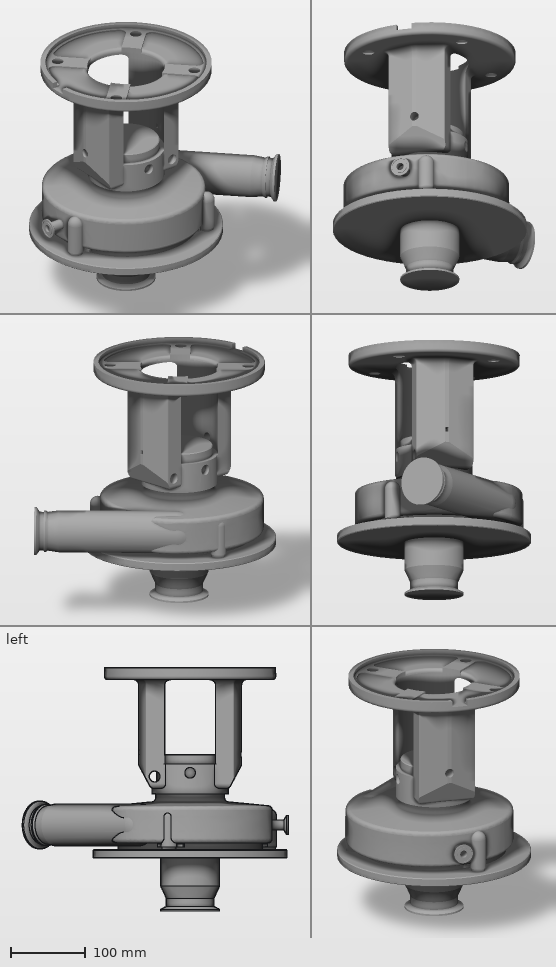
import cadquery as cq
import math

OVERALL_LENGTH = 357

BASE_BOTTOM = 71.0
BASE_TOP = 82.5
CASING_BOTTOM = 91.5
COVER_TOP = 146.5
COLLAR_BOTTOM = 157.5
COLLAR_TOP = 197.5
CAP_TOP = 210.0
MOUNT_BOTTOM = 310.5
MOUNT_TOP = 326.5
PORT_HEIGHT = 115.5

INLET_RADIUS = 39.5
INLET_NECK_RADIUS = 32.0
INLET_LIP_HEIGHT = 2.5
INLET_NECK_BOTTOM = 6.5
INLET_NECK_TOP = 17.0
INLET_TAPER_TOP = 33.5
BASE_RADIUS = 260.0 / 2
EDGE_CHAMFER = 1.0
SPACER_RADIUS = 97.0
NECK_RADIUS = 46.5
NECK_FILLET = 5.5
COLLAR_RADIUS = 51.5
CAP_RADIUS = 45.0
COLLAR_HOLE_RADIUS = 7.0
COLLAR_HOLE_HEIGHT = 185.5

DISC_RADIUS = 106.5
SPIRAL_END_RADIUS = 121.0
SPIRAL_START_ANGLE = -45
SPIRAL_END_ANGLE = -225
TONGUE_ANGLE = -242
TONGUE_RADIUS = 119.2
CASING_FILLET = 5.7
COVER_RIM_RADIUS = 125
COVER_RIM_HEIGHT = 139.5

DRAIN_REACH = 131.5
DRAIN_RADIUS = 6.8
DRAIN_ROOT_REACH = DISC_RADIUS - 7
DRAIN_FLANGE_RADIUS = 13.0
DRAIN_HUB_RADIUS = 10.5
DRAIN_HUB_LENGTH = 2.0
DRAIN_CONE_LENGTH = 1.8
DRAIN_LIP = 2.0
DRAIN_BORE_RADIUS = 5.0
DRAIN_BORE_DEPTH = 10.7
DRAIN_GROOVE_INNER = 9.0
DRAIN_GROOVE_OUTER = 11.0
DRAIN_GROOVE_DEPTH = 1.0

OUTLET_ANGLE = 45
OUTLET_RADIUS = 28.2
OUTLET_OFFSET = 94.5
OUTLET_NECK_RADIUS = 26.0
OUTLET_BEAD_RADIUS = 28.0
OUTLET_FLANGE_RADIUS = 32.0
OUTLET_LIP = 3.0
OUTLET_CONE_BACK = 7.0
OUTLET_BEAD_FRONT = 13.0
OUTLET_BEAD_BACK = 15.0
OUTLET_NECK_BACK = 18.2
OUTLET_TAPER_BACK = 33.0
OUTLET_LENGTH = (
    (OVERALL_LENGTH - DRAIN_REACH) / math.sin(math.radians(OUTLET_ANGLE))
    - OUTLET_OFFSET
    - OUTLET_FLANGE_RADIUS
)

BOSS_ANGLES = (45, 165, 285)
BOSS_CIRCLE_RADIUS = 109.2
BOSS_RADIUS = 21.0 / 2
BOSS_BOTTOM = 86.5
BOSS_DOME_HEIGHT = 126.5
BOSS_FOOT_RADIUS = 9.3
PAD_WIDTH = 35.5
PAD_OUTER_RADIUS = 102.8
PAD_LENGTH = 25.7
PAD_THICKNESS = 4.0

LEG_HALF_WIDTH = 39.5
LEG_SHOULDER = 59.0
LEG_REACH = 69.2
LEG_RIDGE_HALF_WIDTH = 3.0
LEG_BOTTOM = 164.5
LEG_BEVEL_TOP = 196.3
LEG_BEVEL_SLOPE = 0.53
LEG_EDGE_ROUND = 2.0
LEG_ROOT_FILLET = 6.8
LEG_FOOT_FILLET = 6.5
SIGHT_HOLE_RADIUS = 6.0
SIGHT_SLOT_WIDTH = 4.3
CROSS_HOLE_RADIUS = 7.0
CROSS_HOLE_Y = 47.5
CROSS_HOLE_HEIGHT = 180.5

MOUNT_RADIUS = 115.0
MOUNT_EDGE_FILLET = 4.3
MOUNT_BORE_RADIUS = 52.0
RECESS_RADIUS = 108.0
RECESS_DEPTH = 5.7
POCKET_RADIUS = 104.2
POCKET_DEPTH = 8.0
POCKET_CORNER = 9.0
BORE_LIP_FILLET = 5.0
SPOKE_WIDTH = 26.8
SPOKE_ANGLES = (45, 135)
BOLT_SPACING = 131.0
BOLT_RADIUS = 8.0
NOTCH_WIDTH = 21.0
NOTCH_INNER_REACH = POCKET_RADIUS - 3.5

SELECT_MARGIN = 3.5
FINE_MARGIN = 0.5


def cylinder(radius, bottom, top):
    return cq.Workplane("XY").workplane(offset=bottom).circle(radius).extrude(top - bottom)


def revolve_profile(points):
    """Revolve (radius, height) points, closed along the axis, about Z."""
    axis_points = [(0, points[-1][1]), (0, points[0][1])]
    profile = cq.Workplane("XZ").polyline(points + axis_points).close()
    return profile.revolve(360, (0, 0, 0), (0, 1, 0))


def polar(radius, angle):
    turn = math.radians(angle)
    return (radius * math.cos(turn), radius * math.sin(turn))


def inlet_and_base():
    inlet = revolve_profile([
        (INLET_RADIUS, 0),
        (INLET_RADIUS, INLET_LIP_HEIGHT),
        (INLET_NECK_RADIUS, INLET_NECK_BOTTOM),
        (INLET_NECK_RADIUS, INLET_NECK_TOP),
        (INLET_RADIUS, INLET_TAPER_TOP),
        (INLET_RADIUS, BASE_BOTTOM),
    ])
    base = cylinder(BASE_RADIUS, BASE_BOTTOM, BASE_TOP).edges().chamfer(EDGE_CHAMFER)
    spacer = cylinder(SPACER_RADIUS, BASE_TOP, CASING_BOTTOM)
    return inlet.union(base).union(spacer)


def spiral_point(t):
    angle = SPIRAL_START_ANGLE + t * (SPIRAL_END_ANGLE - SPIRAL_START_ANGLE)
    return polar(DISC_RADIUS + t * (SPIRAL_END_RADIUS - DISC_RADIUS), angle)


def casing():
    tongue_middle = (SPIRAL_END_ANGLE + TONGUE_ANGLE) / 2
    disc_middle = (TONGUE_ANGLE + SPIRAL_START_ANGLE - 360) / 2
    body = (
        cq.Workplane("XY")
        .workplane(offset=CASING_BOTTOM)
        .parametricCurve(spiral_point, N=40, makeWire=False)
        .moveTo(*spiral_point(1))
        .threePointArc(polar(SPIRAL_END_RADIUS, tongue_middle), polar(TONGUE_RADIUS, TONGUE_ANGLE))
        .lineTo(*polar(DISC_RADIUS, TONGUE_ANGLE))
        .threePointArc(polar(DISC_RADIUS, disc_middle), spiral_point(0))
        .close()
        .extrude(COVER_TOP - CASING_BOTTOM)
    )
    cone = revolve_profile([
        (COVER_RIM_RADIUS, CASING_BOTTOM),
        (COVER_RIM_RADIUS, COVER_RIM_HEIGHT),
        (NECK_RADIUS + NECK_FILLET, COVER_TOP),
    ])
    body = body.intersect(cone)
    top_rim = cq.selectors.BoxSelector(
        (-BASE_RADIUS, -BASE_RADIUS, COVER_RIM_HEIGHT - SELECT_MARGIN),
        (BASE_RADIUS, BASE_RADIUS, COVER_TOP - FINE_MARGIN),
    )
    body = body.edges(top_rim).fillet(CASING_FILLET)
    body = body.faces("<Z").edges().fillet(CASING_FILLET)
    neck_root = (
        cq.Workplane("XZ")
        .moveTo(0, COVER_TOP)
        .lineTo(NECK_RADIUS + NECK_FILLET, COVER_TOP)
        .radiusArc((NECK_RADIUS, COVER_TOP + NECK_FILLET), NECK_FILLET)
        .lineTo(NECK_RADIUS, COLLAR_BOTTOM)
        .lineTo(0, COLLAR_BOTTOM)
        .close()
        .revolve(360, (0, 0, 0), (0, 1, 0))
    )
    return body.union(neck_root)


def collar():
    ring = cylinder(COLLAR_RADIUS, COLLAR_BOTTOM, COLLAR_TOP)
    cap = cylinder(CAP_RADIUS, COLLAR_TOP, CAP_TOP).faces(">Z").edges().chamfer(EDGE_CHAMFER)
    return ring.union(cap)


def outlet():
    """Pipe with a tapered neck and clamp flange; its root is a hemisphere blending into the casing."""
    pipe = revolve_profile([
        (OUTLET_RADIUS, 0),
        (OUTLET_RADIUS, OUTLET_LENGTH - OUTLET_TAPER_BACK),
        (OUTLET_NECK_RADIUS, OUTLET_LENGTH - OUTLET_NECK_BACK),
        (OUTLET_BEAD_RADIUS, OUTLET_LENGTH - OUTLET_BEAD_BACK),
        (OUTLET_BEAD_RADIUS, OUTLET_LENGTH - OUTLET_BEAD_FRONT),
        (OUTLET_NECK_RADIUS, OUTLET_LENGTH - OUTLET_BEAD_FRONT),
        (OUTLET_NECK_RADIUS, OUTLET_LENGTH - OUTLET_CONE_BACK),
        (OUTLET_FLANGE_RADIUS, OUTLET_LENGTH - OUTLET_LIP),
        (OUTLET_FLANGE_RADIUS, OUTLET_LENGTH),
    ])
    pipe = pipe.union(cq.Workplane("XY").sphere(OUTLET_RADIUS))
    lying = pipe.rotate((0, 0, 0), (0, 1, 0), 90).translate((0, OUTLET_OFFSET, PORT_HEIGHT))
    return lying.rotate((0, 0, 0), (0, 0, 1), OUTLET_ANGLE)


def drain():
    cone_top = DRAIN_REACH - DRAIN_LIP
    hub_top = cone_top - DRAIN_CONE_LENGTH
    port = revolve_profile([
        (DRAIN_RADIUS, DRAIN_ROOT_REACH),
        (DRAIN_RADIUS, hub_top - DRAIN_HUB_LENGTH),
        (DRAIN_HUB_RADIUS, hub_top),
        (DRAIN_FLANGE_RADIUS, cone_top),
        (DRAIN_FLANGE_RADIUS, DRAIN_REACH),
    ])
    groove_floor = DRAIN_REACH - DRAIN_GROOVE_DEPTH
    groove = cylinder(DRAIN_GROOVE_OUTER, groove_floor, DRAIN_REACH)
    groove = groove.cut(cylinder(DRAIN_GROOVE_INNER, groove_floor, DRAIN_REACH))
    port = port.cut(groove).cut(cylinder(DRAIN_BORE_RADIUS, DRAIN_REACH - DRAIN_BORE_DEPTH, DRAIN_REACH))
    return port.rotate((0, 0, 0), (1, 0, 0), 90).translate((0, 0, PORT_HEIGHT))


def boss(angle):
    post = cylinder(BOSS_RADIUS, BOSS_BOTTOM, BOSS_DOME_HEIGHT)
    dome = cq.Workplane("XY").sphere(BOSS_RADIUS).translate((0, 0, BOSS_DOME_HEIGHT))
    foot = cylinder(BOSS_FOOT_RADIUS, BASE_TOP, BOSS_BOTTOM)
    post = post.union(dome).union(foot).translate((BOSS_CIRCLE_RADIUS, 0, 0))
    pad = cq.Workplane("XY").box(PAD_LENGTH, PAD_WIDTH, PAD_THICKNESS, centered=(False, True, False))
    pad = pad.translate((PAD_OUTER_RADIUS - PAD_LENGTH, 0, BOSS_BOTTOM))
    return post.union(pad).rotate((0, 0, 0), (0, 0, 1), angle)


def leg():
    """The -Y leg: a roofed slab with a bevelled foot."""
    slab = (
        cq.Workplane("XY")
        .workplane(offset=LEG_BOTTOM)
        .moveTo(-LEG_HALF_WIDTH, 0)
        .lineTo(-LEG_HALF_WIDTH, -LEG_SHOULDER)
        .lineTo(-LEG_RIDGE_HALF_WIDTH, -LEG_REACH)
        .lineTo(LEG_RIDGE_HALF_WIDTH, -LEG_REACH)
        .lineTo(LEG_HALF_WIDTH, -LEG_SHOULDER)
        .lineTo(LEG_HALF_WIDTH, 0)
        .close()
        .extrude(MOUNT_BOTTOM - LEG_BOTTOM)
    )
    bevel_height = LEG_BEVEL_TOP - LEG_BOTTOM
    bevel = (
        cq.Workplane("YZ")
        .moveTo(-LEG_REACH, LEG_BEVEL_TOP)
        .lineTo(-LEG_REACH + LEG_BEVEL_SLOPE * bevel_height, LEG_BOTTOM)
        .lineTo(-LEG_REACH, LEG_BOTTOM)
        .close()
        .extrude(LEG_HALF_WIDTH, both=True)
    )
    shoulders = cq.selectors.BoxSelector(
        (-LEG_HALF_WIDTH - SELECT_MARGIN, -LEG_SHOULDER - SELECT_MARGIN, LEG_BOTTOM),
        (LEG_HALF_WIDTH + SELECT_MARGIN, -LEG_SHOULDER + SELECT_MARGIN, MOUNT_BOTTOM),
    )
    slab = slab.edges("|Z").edges(shoulders).fillet(LEG_EDGE_ROUND).cut(bevel)
    return slab.faces("<Z").edges("not >Y").fillet(LEG_FOOT_FILLET)


def bracket():
    """Both legs and the flange blank, bored through above the collar."""
    flange = cylinder(MOUNT_RADIUS, MOUNT_BOTTOM, MOUNT_TOP).faces("<Z").edges().fillet(MOUNT_EDGE_FILLET)
    front_leg = leg()
    back_leg = front_leg.rotate((0, 0, 0), (0, 0, 1), 180)
    body = flange.union(front_leg).union(back_leg)
    body = body.cut(cylinder(MOUNT_BORE_RADIUS, COLLAR_TOP, MOUNT_TOP))
    root = cq.selectors.BoxSelector(
        (-LEG_HALF_WIDTH - SELECT_MARGIN, -LEG_REACH - SELECT_MARGIN, MOUNT_BOTTOM - FINE_MARGIN),
        (LEG_HALF_WIDTH + SELECT_MARGIN, LEG_REACH + SELECT_MARGIN, MOUNT_BOTTOM + FINE_MARGIN),
    )
    return body.edges(root).edges("not %CIRCLE").fillet(LEG_ROOT_FILLET)


def without_spokes(body):
    for angle in SPOKE_ANGLES:
        spoke = cq.Workplane("XY").box(2 * MOUNT_RADIUS, SPOKE_WIDTH, 2 * MOUNT_TOP)
        body = body.cut(spoke.rotate((0, 0, 0), (0, 0, 1), angle))
    return body


def flange_cuts():
    """Recess, four pockets between the spokes, bolt holes and the rim notch."""
    floor = MOUNT_TOP - POCKET_DEPTH
    recess = cylinder(RECESS_RADIUS, MOUNT_TOP - RECESS_DEPTH, MOUNT_TOP)
    pockets = without_spokes(cylinder(POCKET_RADIUS, floor, MOUNT_TOP))
    pockets = pockets.edges("|Z").fillet(POCKET_CORNER)
    lip_radius = MOUNT_BORE_RADIUS + BORE_LIP_FILLET
    flare = (
        cq.Workplane("XZ")
        .moveTo(0, floor - BORE_LIP_FILLET)
        .lineTo(MOUNT_BORE_RADIUS, floor - BORE_LIP_FILLET)
        .radiusArc((lip_radius, floor), BORE_LIP_FILLET)
        .lineTo(0, floor)
        .close()
        .revolve(360, (0, 0, 0), (0, 1, 0))
    )
    notch = (
        cq.Workplane("XY")
        .box(NOTCH_WIDTH, MOUNT_RADIUS - NOTCH_INNER_REACH, POCKET_DEPTH, centered=(True, False, False))
        .translate((0, -MOUNT_RADIUS, floor))
    )
    bolts = (
        cq.Workplane("XY")
        .workplane(offset=MOUNT_BOTTOM)
        .rect(BOLT_SPACING, BOLT_SPACING, forConstruction=True)
        .vertices()
        .circle(BOLT_RADIUS)
        .extrude(MOUNT_TOP - MOUNT_BOTTOM)
    )
    return recess.union(pockets).union(without_spokes(flare)).union(notch).union(bolts)


def side_holes():
    """Holes along X and Y through the collar and legs; they stop at the solid core."""
    collar_holes = (
        cq.Workplane("YZ")
        .center(0, COLLAR_HOLE_HEIGHT)
        .circle(COLLAR_HOLE_RADIUS)
        .extrude(COLLAR_RADIUS, both=True)
    )
    cross_hole = (
        cq.Workplane("YZ")
        .center(CROSS_HOLE_Y, CROSS_HOLE_HEIGHT)
        .circle(CROSS_HOLE_RADIUS)
        .extrude(LEG_HALF_WIDTH, both=True)
    )
    sight_hole = cq.Workplane("XZ").center(0, CAP_TOP).circle(SIGHT_HOLE_RADIUS).extrude(LEG_REACH)
    sight_slot = (
        cq.Workplane("XY")
        .box(SIGHT_SLOT_WIDTH, LEG_REACH, SIGHT_HOLE_RADIUS, centered=(True, False, False))
        .translate((0, 0, CAP_TOP))
    )
    holes = collar_holes.union(cross_hole).union(sight_hole).union(sight_slot)
    return holes.cut(cylinder(CAP_RADIUS, COLLAR_BOTTOM, CAP_TOP))


result = inlet_and_base().union(casing()).union(collar()).union(outlet()).union(drain())
for boss_angle in BOSS_ANGLES:
    result = result.union(boss(boss_angle))
result = result.union(bracket()).cut(flange_cuts()).cut(side_holes())